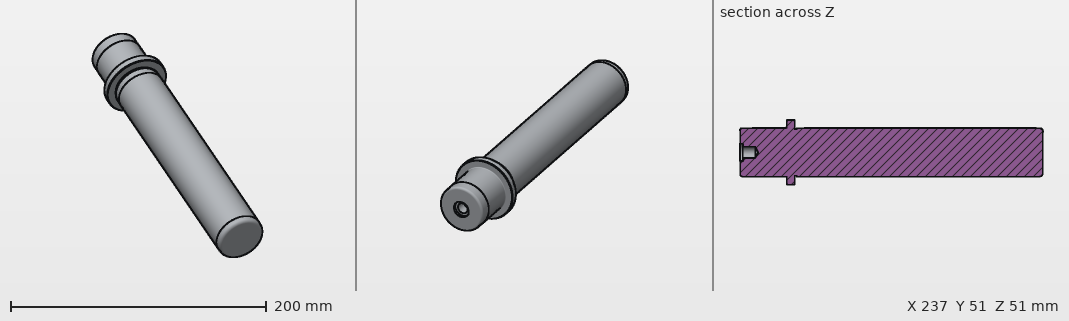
import cadquery as cq

length = 237.0
lead_end = 10.0
flange_start = 36.5
flange_width = 6.5
relief_width = 1.5
neck_end = 50.7
tail_length = 5.7

flange_radius = 25.48
body_radius = 19.2
clearance = 0.12
relief_depth = 0.7

spigot_end_fillet = 2.0
tail_end_fillet = 2.8
flange_root_fillet = 0.7
flange_chamfer = 0.5

counterbore_radius = 6.6
counterbore_depth = 2.4
drill_radius = 4.3
drill_depth = 11.8
drill_tip_length = 2.4

flange_end = flange_start + flange_width


def cylinder(start, end, radius):
    """Cylinder on the X axis between two stations."""
    return cq.Workplane("YZ", origin=(start, 0, 0)).circle(radius).extrude(end - start)


def make_spigot():
    lead = cylinder(0, lead_end, body_radius - clearance).faces("<X").edges().fillet(spigot_end_fillet)
    return lead.union(cylinder(lead_end, flange_start, body_radius))


def make_flange():
    return cylinder(flange_start, flange_end, flange_radius).edges().chamfer(flange_chamfer)


def make_shank():
    relief_end = flange_end + relief_width
    tail_start = length - tail_length
    relief = cylinder(flange_end, relief_end, body_radius - relief_depth)
    neck = cylinder(relief_end, neck_end, body_radius - clearance)
    body = cylinder(neck_end, tail_start, body_radius)
    tail = cylinder(tail_start, length, body_radius - clearance)
    tail = tail.faces(">X").edges().fillet(tail_end_fillet)
    return relief.union(neck).union(body).union(tail)


def make_end_hole():
    profile = (
        cq.Workplane("XY")
        .lineTo(0, counterbore_radius)
        .lineTo(counterbore_depth, counterbore_radius)
        .lineTo(counterbore_depth, drill_radius)
        .lineTo(drill_depth, drill_radius)
        .lineTo(drill_depth + drill_tip_length, 0)
        .close()
    )
    return profile.revolve(360, (0, 0, 0), (1, 0, 0))


pin = make_spigot().union(make_flange()).union(make_shank())

spigot_root = cq.selectors.BoxSelector(
    (flange_start - clearance, -flange_radius, -flange_radius),
    (flange_start + clearance, flange_radius, flange_radius),
)
root_edge = pin.edges(spigot_root).edges(cq.selectors.RadiusNthSelector(0))
pin = root_edge.fillet(flange_root_fillet)

result = pin.cut(make_end_hole())